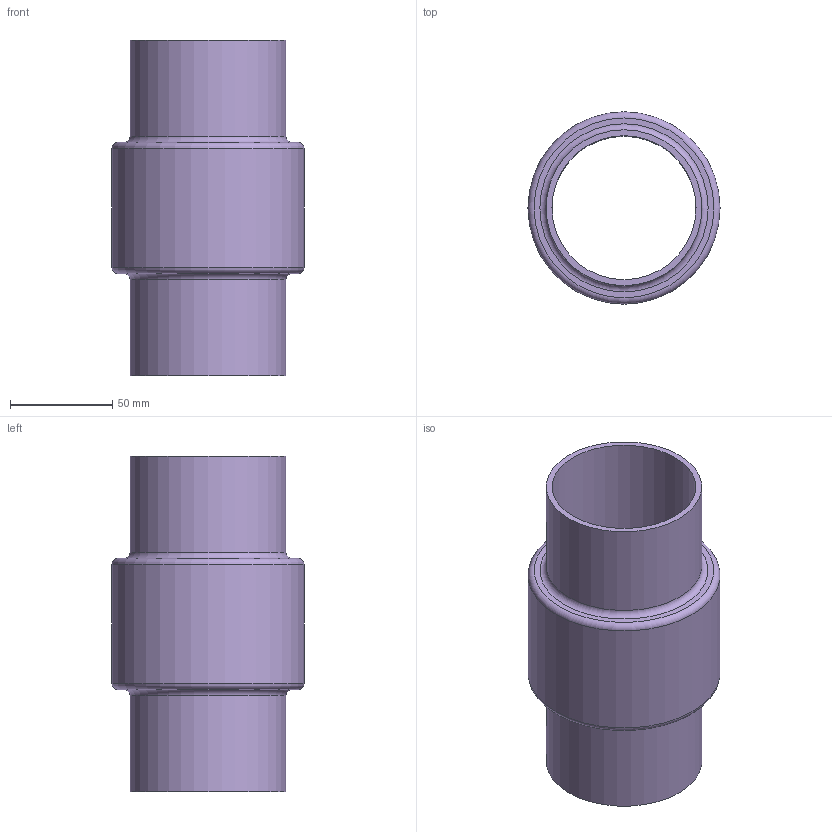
import cadquery as cq

total_length = 164.0
pipe_diameter = 76.1
wall_thickness = 2.9
body_diameter = 93.8
body_length = 64.0
rim_radius = 3.0
root_radius = 3.0

pipe_radius = pipe_diameter / 2
bore_radius = pipe_radius - wall_thickness
body_radius = body_diameter / 2
pipe_end = total_length / 2
body_end = body_length / 2

half_section = (
    cq.Workplane("XZ")
    .moveTo(bore_radius, -pipe_end)
    .lineTo(pipe_radius, -pipe_end)
    .lineTo(pipe_radius, -body_end - root_radius)
    .tangentArcPoint((pipe_radius + root_radius, -body_end), relative=False)
    .lineTo(body_radius - rim_radius, -body_end)
    .tangentArcPoint((body_radius, -body_end + rim_radius), relative=False)
    .lineTo(body_radius, body_end - rim_radius)
    .tangentArcPoint((body_radius - rim_radius, body_end), relative=False)
    .lineTo(pipe_radius + root_radius, body_end)
    .tangentArcPoint((pipe_radius, body_end + root_radius), relative=False)
    .lineTo(pipe_radius, pipe_end)
    .lineTo(bore_radius, pipe_end)
    .close()
)

result = half_section.revolve(360, (0, 0, 0), (0, 1, 0))